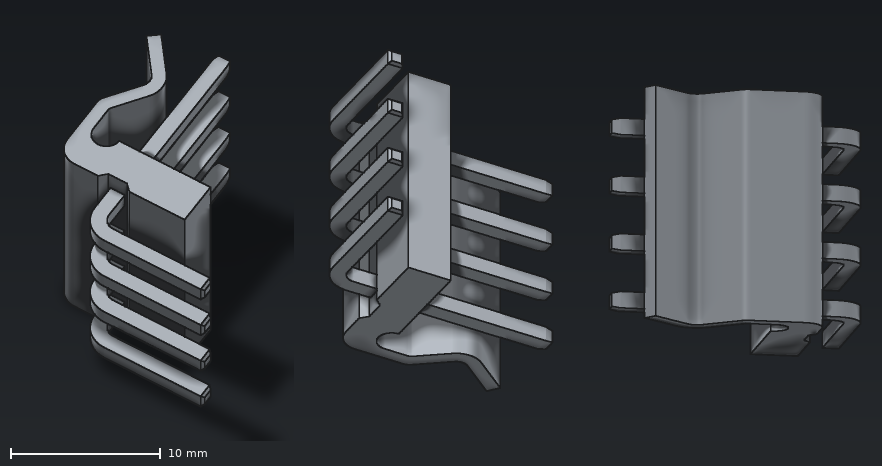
import cadquery as cq
import math


pin_count = 4
header_height = 15.84
pitch = header_height / pin_count

pin_width = 1.14
pin_top = 13.82
pin_bottom = -3.45
tail_end = 9.29
bend_outer_radius = 2.0
bend_inner_radius = bend_outer_radius - pin_width
tip_taper_length = 0.57
tip_taper_inset = 0.1
tail_chamfer_length = 0.2
tail_chamfer_inset = 0.19

housing_left = -4.63
housing_right = 5.63
housing_depth = 3.23
housing_corner_radius = 1.5

groove_depth = 0.5
groove_floor_half = 0.75
groove_mouth_half = groove_floor_half + groove_depth

arm_thickness = 1.0
slot_radius = 1.0
arm_left_tip = -4.8
lower_bend_y = 5.5
upper_bend_y = 8.6
lower_angle = math.radians(36.0)
upper_angle = math.radians(38.5)
lower_bend_outer_radius = 1.0
lower_bend_inner_radius = 0.5
upper_bend_inner_radius = 0.83
upper_bend_outer_radius = upper_bend_inner_radius + arm_thickness


def make_housing():
    """Housing and latch arm as one profile, extruded along the pin row."""
    lower_left = (housing_left, lower_bend_y)
    upper_left = (
        housing_left + (upper_bend_y - lower_bend_y) * math.tan(lower_angle),
        upper_bend_y,
    )
    tip_left = (
        arm_left_tip,
        upper_bend_y + (upper_left[0] - arm_left_tip) / math.tan(upper_angle),
    )

    tip_right = (
        tip_left[0] + arm_thickness * math.cos(upper_angle),
        tip_left[1] + arm_thickness * math.sin(upper_angle),
    )
    miter_length = arm_thickness / math.cos((lower_angle + upper_angle) / 2)
    miter_angle = (upper_angle - lower_angle) / 2
    upper_right = (
        upper_left[0] + miter_length * math.cos(miter_angle),
        upper_left[1] + miter_length * math.sin(miter_angle),
    )
    slot_left = housing_left + arm_thickness
    lower_right = (slot_left, lower_bend_y - arm_thickness * math.tan(lower_angle / 2))

    rear_left = (housing_left, 0)
    body = (
        cq.Workplane("XY")
        .moveTo(*rear_left)
        .lineTo(*lower_left)
        .lineTo(*upper_left)
        .lineTo(*tip_left)
        .lineTo(*tip_right)
        .lineTo(*upper_right)
        .lineTo(*lower_right)
        .lineTo(slot_left, housing_depth)
        .threePointArc(
            (slot_left + slot_radius, housing_depth - slot_radius),
            (slot_left + 2 * slot_radius, housing_depth),
        )
        .lineTo(housing_right, housing_depth)
        .lineTo(housing_right, 0)
        .lineTo(groove_mouth_half, 0)
        .lineTo(groove_floor_half, groove_depth)
        .lineTo(-groove_floor_half, groove_depth)
        .lineTo(-groove_mouth_half, 0)
        .close()
        .extrude(header_height)
    )

    rounded_corners = [
        (rear_left, housing_corner_radius),
        (lower_left, lower_bend_outer_radius),
        (lower_right, lower_bend_inner_radius),
        (upper_left, upper_bend_inner_radius),
        (upper_right, upper_bend_outer_radius),
    ]
    for (x, y), radius in rounded_corners:
        corner_edge = cq.NearestToPointSelector((x, y, header_height / 2))
        body = body.edges("|Z").edges(corner_edge).fillet(radius)
    return body


def make_end(plane, length, inset):
    """Square pin end that narrows by the inset on all four sides over its length."""
    end_width = pin_width - 2 * inset
    return (
        cq.Workplane(plane)
        .rect(pin_width, pin_width)
        .workplane(offset=length)
        .rect(end_width, end_width)
        .loft(ruled=True)
    )


def make_pin():
    """Right-angle pin centred on Z = 0: a leg along Y bent into a tail along +X."""
    half = pin_width / 2
    leg_end = pin_top - tip_taper_length
    tail_start_of_chamfer = tail_end - tail_chamfer_length
    bend_x = bend_outer_radius - half
    bend_y = pin_bottom + bend_outer_radius
    diagonal = math.sqrt(0.5)

    bar = (
        cq.Workplane("XY", origin=(0, 0, -half))
        .moveTo(-half, leg_end)
        .lineTo(-half, bend_y)
        .threePointArc(
            (bend_x - bend_outer_radius * diagonal, bend_y - bend_outer_radius * diagonal),
            (bend_x, pin_bottom),
        )
        .lineTo(tail_start_of_chamfer, pin_bottom)
        .lineTo(tail_start_of_chamfer, pin_bottom + pin_width)
        .lineTo(bend_x, pin_bottom + pin_width)
        .threePointArc(
            (bend_x - bend_inner_radius * diagonal, bend_y - bend_inner_radius * diagonal),
            (half, bend_y),
        )
        .lineTo(half, leg_end)
        .close()
        .extrude(pin_width)
    )

    tip_plane = cq.Plane(origin=(0, leg_end, 0), xDir=(1, 0, 0), normal=(0, 1, 0))
    tail_plane = cq.Plane(
        origin=(tail_start_of_chamfer, pin_bottom + half, 0), xDir=(0, 1, 0), normal=(1, 0, 0)
    )
    tip = make_end(tip_plane, tip_taper_length, tip_taper_inset)
    tail = make_end(tail_plane, tail_chamfer_length, tail_chamfer_inset)
    return bar.union(tip).union(tail)


result = make_housing()
pin = make_pin()
for index in range(pin_count):
    result = result.union(pin.translate((0, 0, (index + 0.5) * pitch)))